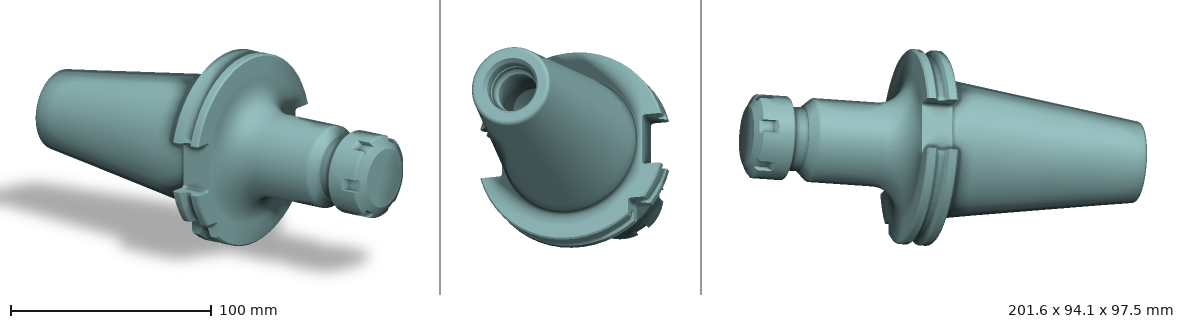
import cadquery as cq
import math


gauge_radius = 69.85 / 2
taper_length = 101.1
taper_slope = 7 / 48
small_end_radius = gauge_radius - taper_length * taper_slope
small_end_fillet = 2.0

relief_start_x = 102.5
relief_radius = 34.7
relief_fillet = 1.2

flange_start_x = 104.7
flange_width = 15.8
flange_end_x = flange_start_x + flange_width
flange_radius = 97.5 / 2
flange_chamfer = 0.8
groove_center_x = flange_start_x + 8.0
groove_floor_radius = 45.4
groove_floor_half_width = 1.5
groove_floor_fillet = 0.8
groove_flank_angle = 30.0
groove_top_half_width = groove_floor_half_width + (
    flange_radius - groove_floor_radius
) * math.tan(math.radians(groove_flank_angle))

slot_width = 25.7
slot_floor_plus_y = 35.5
slot_floor_minus_y = 37.4
notch_y = -30.0
notch_z = -30.0
cutout_corner_fillet = 1.5

body_radius = 21.0
body_fillet = 15.0
body_end_x = 173.7
shoulder_blend = 2.1
shoulder_face_radius = 16.8
shoulder_edge_x = 168.9
neck_radius = 16.0
neck_fillet = 0.6

overall_length = 201.6
nut_length = 20.0
nut_start_x = overall_length - nut_length
nut_radius = 21.0
nut_back_fillet = 1.2
nut_front_radius = 14.9
nut_cone_angle = 60.0
nut_cone_length = (
    nut_radius - nut_front_radius
) / math.tan(math.radians(nut_cone_angle))
nut_cone_blend = 1.0
nut_slot_count = 6
nut_slot_width = 6.4
nut_slot_floor_radius = 18.2
nut_slot_start_x = 190.2
nut_slot_ramp = 2.4

cutter_clearance = 1.0

bore_mouth_radius = 14.3
bore_mouth_depth = 2.5
bore_radius = 12.7
bore_end_x = 8.5
bore_step_length = 0.4
pilot_radius = 12.2
pilot_end_x = 11.8
thread_radius = 10.2
thread_lead_length = 2.0
thread_end_x = 40.0
drill_tip_angle = 59.0
drill_tip_length = thread_radius / math.tan(math.radians(drill_tip_angle))


def revolve_about_x(profile):
    return profile.close().revolve(360, (0, 0, 0), (1, 0, 0))


def round_circle(solid, x, radius, fillet_radius):
    """Fillet the one circular edge that has the given place and radius on the X axis."""
    tolerance = 0.01
    circles = [
        edge
        for edge in solid.edges("%CIRCLE").vals()
        if abs(edge.Center().x - x) < tolerance and abs(edge.radius() - radius) < tolerance
    ]
    return solid.newObject(circles).fillet(fillet_radius)


def turned_body():
    """Taper, flange with V groove, filleted body and neck, as one revolved profile."""
    profile = (
        cq.Workplane("XY")
        .moveTo(0, 0)
        .lineTo(0, small_end_radius)
        .lineTo(taper_length, gauge_radius)
        .lineTo(relief_start_x, gauge_radius)
        .lineTo(flange_start_x, relief_radius)
        .lineTo(flange_start_x, flange_radius - flange_chamfer)
        .lineTo(flange_start_x + flange_chamfer, flange_radius)
        .lineTo(groove_center_x - groove_top_half_width, flange_radius)
        .lineTo(groove_center_x - groove_floor_half_width, groove_floor_radius)
        .lineTo(groove_center_x + groove_floor_half_width, groove_floor_radius)
        .lineTo(groove_center_x + groove_top_half_width, flange_radius)
        .lineTo(flange_end_x - flange_chamfer, flange_radius)
        .lineTo(flange_end_x, flange_radius - flange_chamfer)
        .lineTo(flange_end_x, body_radius)
        .lineTo(shoulder_edge_x, body_radius)
        .lineTo(body_end_x, shoulder_face_radius)
        .lineTo(body_end_x, neck_radius)
        .lineTo(nut_start_x, neck_radius)
        .lineTo(nut_start_x, 0)
    )
    body = revolve_about_x(profile).faces("<X").edges().fillet(small_end_fillet)
    body = round_circle(body, flange_start_x, relief_radius, relief_fillet)
    for side in (-1, 1):
        groove_corner_x = groove_center_x + side * groove_floor_half_width
        body = round_circle(body, groove_corner_x, groove_floor_radius, groove_floor_fillet)
    body = round_circle(body, flange_end_x, body_radius, body_fillet)
    body = round_circle(body, shoulder_edge_x, body_radius, shoulder_blend)
    return round_circle(body, body_end_x, neck_radius, neck_fillet)


def flange_cutout(y_min, y_max, z_min, z_max, rounded_edges):
    """Box through the flange width whose chosen inner edges are rounded."""
    box = cq.Workplane("XY").box(flange_width, y_max - y_min, z_max - z_min, centered=False)
    box = box.edges(rounded_edges).fillet(cutout_corner_fillet)
    return box.translate((flange_start_x, y_min, z_min))


def pull_stud_bore():
    profile = (
        cq.Workplane("XY")
        .moveTo(0, 0)
        .lineTo(0, bore_mouth_radius)
        .lineTo(bore_mouth_depth, bore_radius)
        .lineTo(bore_end_x, bore_radius)
        .lineTo(bore_end_x + bore_step_length, pilot_radius)
        .lineTo(pilot_end_x, pilot_radius)
        .lineTo(pilot_end_x + thread_lead_length, thread_radius)
        .lineTo(thread_end_x, thread_radius)
        .lineTo(thread_end_x + drill_tip_length, 0)
    )
    return revolve_about_x(profile)


def make_holder():
    clear_of_flange = flange_radius + cutter_clearance
    half_slot = slot_width / 2
    slot_plus_y = flange_cutout(slot_floor_plus_y, clear_of_flange, -half_slot, half_slot, "|X and <Y")
    slot_minus_y = flange_cutout(-clear_of_flange, -slot_floor_minus_y, -half_slot, half_slot, "|X and >Y")
    notch = flange_cutout(-clear_of_flange, notch_y, -clear_of_flange, notch_z, "|X and >Y and >Z")
    return turned_body().cut(slot_plus_y).cut(slot_minus_y).cut(notch).cut(pull_stud_bore())


def nut_slot():
    """Wrench slot on the -Y side, with a sloped run-out at its closed end."""
    clear_radius = nut_radius + cutter_clearance
    return (
        cq.Workplane("XY")
        .moveTo(nut_slot_start_x, -clear_radius)
        .lineTo(nut_slot_start_x, -nut_radius)
        .lineTo(nut_slot_start_x + nut_slot_ramp, -nut_slot_floor_radius)
        .lineTo(overall_length, -nut_slot_floor_radius)
        .lineTo(overall_length, -clear_radius)
        .close()
        .extrude(nut_slot_width / 2, both=True)
    )


def make_nut():
    profile = (
        cq.Workplane("XY")
        .moveTo(nut_start_x, 0)
        .lineTo(nut_start_x, nut_radius)
        .lineTo(overall_length - nut_cone_length, nut_radius)
        .lineTo(overall_length, nut_front_radius)
        .lineTo(overall_length, 0)
    )
    nut = revolve_about_x(profile)
    nut = nut.faces("<X").edges().fillet(nut_back_fillet)
    nut = round_circle(nut, overall_length - nut_cone_length, nut_radius, nut_cone_blend)
    for index in range(nut_slot_count):
        angle = index * 360 / nut_slot_count
        nut = nut.cut(nut_slot().rotate((0, 0, 0), (1, 0, 0), angle))
    return nut


holder = make_holder()
nut = make_nut()
result = cq.Compound.makeCompound([holder.val(), nut.val()])